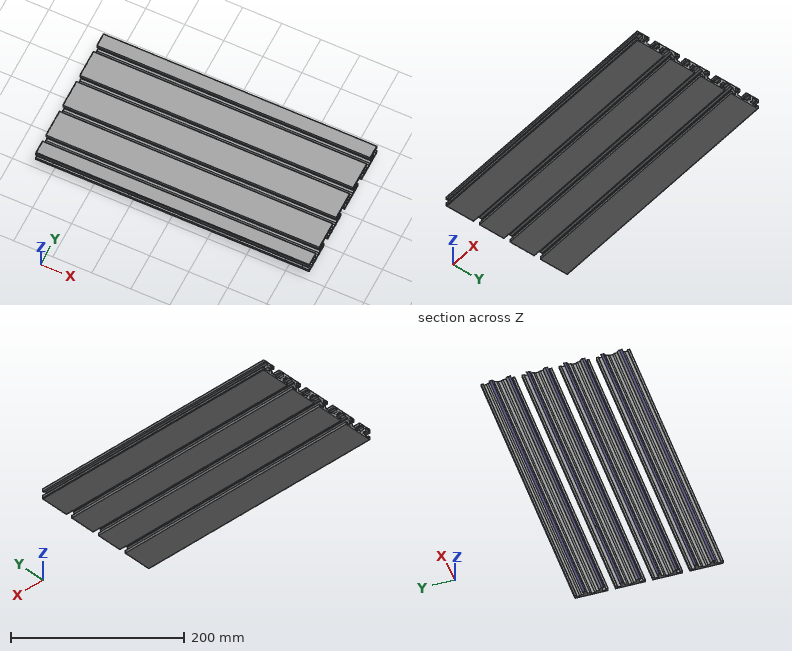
import cadquery as cq

LENGTH = 350.0
WIDTH = 180.0
HEIGHT = 15.0
OUTER_CHAMFER = 0.9

SLOT_PITCH = 45.0
TOP_SLOT_COUNT = 4
BOTTOM_SLOT_COUNT = 3

SKIN = 2.3
LIP_DEPTH = 3.7
LIP_WIDTH = 2.5

MOUTH_HALF = 4.5
WIDE_HALF = 11.25
NARROW_HALF = 7.25
BEND_START = 5.8
BEND_END = BEND_START + WIDE_HALF - NARROW_HALF

SHELF_DEPTH = HEIGHT - LIP_DEPTH
GROOVE_DEPTH = HEIGHT - SKIN
GROOVE_TOP_HALF = 4.0
FLANK_WIDTH = 2.2

SIDE_MOUTH_HALF = 3.0
SIDE_SHALLOW = 8.25
SIDE_DEEP = 11.25
SIDE_BEND_TOP = 0.9
SIDE_BEND_BOTTOM = SIDE_BEND_TOP - (SIDE_DEEP - SIDE_SHALLOW)


def extrude_outline(points):
    """Extrude a closed (Y, Z) outline over the full length, centred on X."""
    return cq.Workplane("YZ").polyline(points).close().extrude(LENGTH / 2, both=True)


def t_slot(center_y, open_side):
    """T-slot cavity open to the top (open_side = 1) or bottom (open_side = -1) face."""
    half_outline = [
        (MOUTH_HALF, 0),
        (MOUTH_HALF, LIP_DEPTH),
        (MOUTH_HALF + LIP_WIDTH, LIP_DEPTH),
        (MOUTH_HALF + LIP_WIDTH, SKIN),
        (WIDE_HALF, SKIN),
        (WIDE_HALF, BEND_START),
        (NARROW_HALF, BEND_END),
        (NARROW_HALF, SHELF_DEPTH),
        (GROOVE_TOP_HALF, SHELF_DEPTH),
        (GROOVE_TOP_HALF - FLANK_WIDTH, GROOVE_DEPTH),
    ]
    mirrored_half = [(-offset, depth) for offset, depth in reversed(half_outline)]
    outline = [
        (center_y + offset, open_side * (HEIGHT / 2 - depth))
        for offset, depth in half_outline + mirrored_half
    ]
    return extrude_outline(outline)


def slot_row(count, open_side):
    """Evenly pitched T-slots centred on the plate width."""
    first_center = -SLOT_PITCH * (count - 1) / 2
    return [t_slot(first_center + index * SLOT_PITCH, open_side) for index in range(count)]


def side_slot(side):
    """Slot along the +Y (side = 1) or -Y (side = -1) edge, bounded by the outermost web."""
    ceiling = HEIGHT / 2 - SKIN
    floor = -ceiling
    shelf = LIP_DEPTH - HEIGHT / 2
    outline = [
        (0, SIDE_MOUTH_HALF),
        (LIP_WIDTH, SIDE_MOUTH_HALF),
        (LIP_WIDTH, ceiling),
        (SIDE_SHALLOW, ceiling),
        (SIDE_SHALLOW, SIDE_BEND_TOP),
        (SIDE_DEEP, SIDE_BEND_BOTTOM),
        (SIDE_DEEP, shelf),
        (SIDE_SHALLOW, shelf),
        (SIDE_SHALLOW - FLANK_WIDTH, floor),
        (LIP_WIDTH, floor),
        (LIP_WIDTH, -SIDE_MOUTH_HALF),
        (0, -SIDE_MOUTH_HALF),
    ]
    return extrude_outline([(side * (WIDTH / 2 - depth), height) for depth, height in outline])


result = cq.Workplane("XY").box(LENGTH, WIDTH, HEIGHT).edges("|X").chamfer(OUTER_CHAMFER)
for cutter in slot_row(TOP_SLOT_COUNT, 1) + slot_row(BOTTOM_SLOT_COUNT, -1):
    result = result.cut(cutter)
for edge_side in (1, -1):
    result = result.cut(side_slot(edge_side))